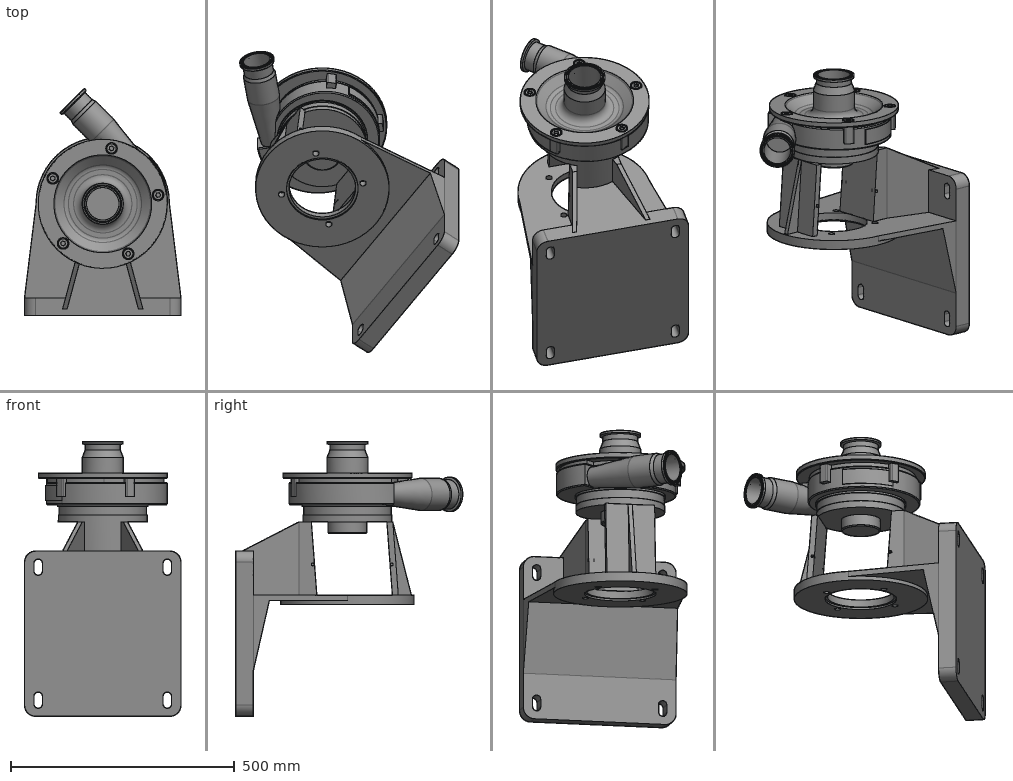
import cadquery as cq
import math


WALL_WIDTH = 350.0
WALL_HEIGHT = 370.0
WALL_THICKNESS = 40.0
WALL_FRONT_Y = -250.0
WALL_BACK_Y = WALL_FRONT_Y + WALL_THICKNESS
WALL_CORNER_RADIUS = 25.0
SLOT_WIDTH = 18.5
SLOT_LENGTH = 35.5
SLOT_EDGE_X = 31.0
SLOT_EDGE_Z = 36.0

SHELF_TOP_Z = 271.0
SHELF_THICKNESS = 12.0
SHELF_BOTTOM_Z = SHELF_TOP_Z - SHELF_THICKNESS
SHELF_RADIUS = 149.5
MOTOR_DISC_THICKNESS = 21.0
MOTOR_HOLE_RADIUS = 74.5
MOTOR_RECESS_RADIUS = 80.0
MOTOR_RECESS_DEPTH = 4.0
MOTOR_BOLT_CIRCLE_RADIUS = 92.0
MOTOR_BOLT_HOLE_DIAMETER = 13.5
MOTOR_BOLT_COUNT = 4
WEDGE_REACH = 35.5
WEDGE_LOWEST_Z = 102.5

RING_RADIUS = 99.5
RING_BOTTOM_Z = 435.0
RING_THICKNESS = 15.5
RING_TOP_Z = RING_BOTTOM_Z + RING_THICKNESS
LEG_HALF_WIDTH = 56.0
LEG_LEAN = 12.0
FRONT_LEG_INNER_Y = -80.5
FRONT_LEG_OUTER_Y = -109.0
BACK_LEG_INNER_Y = 88.0
BACK_LEG_THICKNESS = 13.5
BACK_RIB_FOOT_Y = 143.0
RIB_THICKNESS = 10.0
RIB_SPLAY_ANGLE = 15.0
RIB_END_Y = -235.5
PIN_HOLE_Z = 340.0
PIN_HOLE_DIAMETER = 6.0
PIN_HOLE_DEPTH = 12.0
PIN_HOLE_INSET = 4.0

SHAFT_BOSS_RADIUS = 43.5
SHAFT_BOSS_BOTTOM_Z = 408.5
SHAFT_BOSS_CHAMFER = 2.5
HOUSING_RADIUS = 98.5
HOUSING_TOP_Z = 469.0
COLLAR_RADIUS = 101.5

CASING_BOTTOM_Z = 473.0
CASING_TOP_Z = 523.5
CASING_CHAMFER = 2.5
DRUM_SHIFT = -4.6
DRUM_RADIUS = 121.5
VOLUTE_SHIFT = 7.0
VOLUTE_RADIUS = DRUM_RADIUS + (VOLUTE_SHIFT - DRUM_SHIFT) * math.sqrt(2)
DRUM_NECK_INSET = 2.5
VOLUTE_NECK_INSET = 7.5
PAD_RADIUS = 128.5
PAD_BOTTOM_Z = 482.5
PAD_TOP_Z = 517.0
PAD_START_ANGLE = 172.0
PAD_END_ANGLE = 225.0

COVER_RADIUS = 144.5
COVER_BOTTOM_Z = 532.0
COVER_TOP_Z = 544.0
COVER_CHAMFER = 2.0
BOWL_RIM_RADIUS = 109.5
BOWL_RIM_CHAMFER = 2.5
BOWL_FLOOR_RADIUS = 82.5
BOWL_FLOOR_Z = 521.0
BOWL_FILLET = 15.5
FLARE_RADIUS = 19.0

SCREW_COUNT = 5
SCREW_CIRCLE_RADIUS = 125.5
SCREW_START_ANGLE = 9.0
LUG_WIDTH = 21.0
LUG_OUTER_RADIUS = 137.0
LUG_BOTTOM_Z = 491.5
LUG_FILLET = 2.5
SCREW_RECESS_RADIUS = 13.0
SCREW_HEAD_RADIUS = 10.5
SCREW_GAP_DEPTH = 3.5
SOCKET_DIAMETER = 11.0
SOCKET_DEPTH = 3.5

INLET_TOP_Z = 614.5
INLET_RADIUS = 46.0
INLET_NECK_RADIUS = 39.5
INLET_FLANGE_RADIUS = 45.5
INLET_FLANGE_THICKNESS = 5.0
INLET_CONE_BOTTOM_Z = 579.0
INLET_CONE_TOP_Z = 596.0
INLET_BORE_RADIUS = 36.0
INLET_BORE_DEPTH = 123.0

OUTLET_DIRECTION = (-1, 1, 0)
OUTLET_OFFSET = 115.0
OUTLET_AXIS_Z = 496.5
OUTLET_RADIUS = 36.0
OUTLET_ROOT_RADIUS = 23.5
OUTLET_NECK_RADIUS = 33.0
OUTLET_FLANGE_RADIUS = 39.0
OUTLET_FLANGE_THICKNESS = 5.5
OUTLET_TAPER_END = 116.0
OUTLET_PIPE_END = 173.0
OUTLET_CONE_END = 181.0
OUTLET_LENGTH = 211.5
OUTLET_BORE_RADIUS = 30.0
OUTLET_BORE_DEPTH = 92.0

FERRULE_TAPER = 2.0
FERRULE_GROOVE_WIDTH = 2.5
FERRULE_GROOVE_DEPTH = 2.0


def cylinder(radius, bottom, top, x=0.0, y=0.0):
    return cq.Workplane("XY", origin=(x, y, bottom)).circle(radius).extrude(top - bottom)


def revolved(points):
    """Solid of revolution about Z from an outline of (radius, z) points."""
    return cq.Workplane("XZ").polyline(points).close().revolve(360, (0, 0), (0, 1))


def side_extrusion(points, half_width):
    """Extrude an outline of (y, z) points along X, centred on X = 0."""
    return cq.Workplane("YZ").polyline(points).close().extrude(half_width, both=True)


def wall_plate():
    center_z = WALL_HEIGHT / 2
    slot_x = WALL_WIDTH / 2 - SLOT_EDGE_X
    slot_z = center_z - SLOT_EDGE_Z
    slots = [(i * slot_x, j * slot_z) for i in (-1, 1) for j in (-1, 1)]
    return (
        cq.Workplane("XZ", origin=(0, WALL_BACK_Y, center_z))
        .rect(WALL_WIDTH, WALL_HEIGHT)
        .extrude(WALL_THICKNESS)
        .edges("|Y")
        .fillet(WALL_CORNER_RADIUS)
        .faces("<Y")
        .workplane(centerOption="CenterOfBoundBox")
        .pushPoints(slots)
        .slot2D(SLOT_LENGTH, SLOT_WIDTH, 90)
        .cutThruAll()
    )


def shelf():
    """Half-round shelf widening to the wall plate, with a wedge below it and a motor disc."""
    outline = (
        cq.Workplane("XY")
        .moveTo(WALL_WIDTH / 2, WALL_BACK_Y)
        .lineTo(SHELF_RADIUS, 0)
        .threePointArc((0, SHELF_RADIUS), (-SHELF_RADIUS, 0))
        .lineTo(-WALL_WIDTH / 2, WALL_BACK_Y)
        .close()
        .extrude(SHELF_TOP_Z)
    )
    profile = side_extrusion(
        [
            (WALL_BACK_Y, SHELF_TOP_Z),
            (SHELF_RADIUS, SHELF_TOP_Z),
            (SHELF_RADIUS, SHELF_BOTTOM_Z),
            (WALL_BACK_Y + WEDGE_REACH, SHELF_BOTTOM_Z),
            (WALL_BACK_Y, WEDGE_LOWEST_Z),
        ],
        WALL_WIDTH,
    )
    disc_bottom_z = SHELF_TOP_Z - MOTOR_DISC_THICKNESS
    disc = cylinder(SHELF_RADIUS, disc_bottom_z, SHELF_TOP_Z)
    recess = cylinder(MOTOR_RECESS_RADIUS, disc_bottom_z, disc_bottom_z + MOTOR_RECESS_DEPTH)
    hole = cylinder(MOTOR_HOLE_RADIUS, disc_bottom_z, SHELF_TOP_Z)
    bolt_holes = (
        cq.Workplane("XY", origin=(0, 0, disc_bottom_z))
        .polarArray(MOTOR_BOLT_CIRCLE_RADIUS, 45, 360, MOTOR_BOLT_COUNT)
        .circle(MOTOR_BOLT_HOLE_DIAMETER / 2)
        .extrude(MOTOR_DISC_THICKNESS)
    )
    return outline.intersect(profile).union(disc).cut(recess).cut(hole).cut(bolt_holes)


def rib_outer_x(y):
    """Distance of a splayed rib's outer face from the middle plane at a given Y."""
    return LEG_HALF_WIDTH + (FRONT_LEG_OUTER_Y - y) * math.tan(math.radians(RIB_SPLAY_ANGLE))


def plan_extrusion(points, top):
    """Extrude an outline of (x, y) points from the shelf up to the given height."""
    plane = cq.Workplane("XY", origin=(0, 0, SHELF_TOP_Z))
    return plane.polyline(points).close().extrude(top - SHELF_TOP_Z)


def front_leg():
    """Leg rounded flush with the adapter ring, with a leaning inner face."""
    block = side_extrusion(
        [
            (FRONT_LEG_INNER_Y, RING_BOTTOM_Z),
            (FRONT_LEG_OUTER_Y, RING_BOTTOM_Z),
            (FRONT_LEG_OUTER_Y, SHELF_TOP_Z),
            (FRONT_LEG_INNER_Y + LEG_LEAN, SHELF_TOP_Z),
        ],
        LEG_HALF_WIDTH,
    )
    return block.intersect(cylinder(RING_RADIUS, SHELF_TOP_Z, RING_BOTTOM_Z))


def splayed_ribs():
    """Two ribs from the front leg to the wall plate, and the solid block between them."""
    rib_width = RIB_THICKNESS / math.cos(math.radians(RIB_SPLAY_ANGLE))
    root_x = rib_outer_x(FRONT_LEG_INNER_Y) - rib_width
    end_x = rib_outer_x(RIB_END_Y)
    wall_x = rib_outer_x(WALL_BACK_Y) - rib_width
    rib = plan_extrusion(
        [
            (LEG_HALF_WIDTH, FRONT_LEG_INNER_Y),
            (LEG_HALF_WIDTH, FRONT_LEG_OUTER_Y),
            (end_x, RIB_END_Y),
            (end_x - rib_width, RIB_END_Y),
            (root_x, FRONT_LEG_INNER_Y),
        ],
        RING_BOTTOM_Z,
    )
    profile = side_extrusion(
        [
            (FRONT_LEG_INNER_Y, SHELF_TOP_Z),
            (FRONT_LEG_INNER_Y, RING_BOTTOM_Z),
            (FRONT_LEG_OUTER_Y, RING_BOTTOM_Z),
            (RIB_END_Y, WALL_HEIGHT),
            (WALL_BACK_Y, WALL_HEIGHT),
            (WALL_BACK_Y, SHELF_TOP_Z),
        ],
        WALL_WIDTH,
    )
    rib = rib.intersect(profile)
    block = plan_extrusion(
        [
            (root_x, FRONT_LEG_INNER_Y),
            (wall_x, WALL_BACK_Y),
            (-wall_x, WALL_BACK_Y),
            (-root_x, FRONT_LEG_INNER_Y),
        ],
        WALL_HEIGHT,
    )
    return block.union(rib).union(rib.mirror("YZ"))


def back_leg():
    """Leaning wall stiffened by a triangular rib on its outer face."""
    outer_y = BACK_LEG_INNER_Y + BACK_LEG_THICKNESS
    wall = side_extrusion(
        [
            (BACK_LEG_INNER_Y, RING_BOTTOM_Z),
            (outer_y, RING_BOTTOM_Z),
            (outer_y + LEG_LEAN, SHELF_TOP_Z),
            (BACK_LEG_INNER_Y + LEG_LEAN, SHELF_TOP_Z),
        ],
        LEG_HALF_WIDTH,
    )
    rib = side_extrusion(
        [
            (BACK_LEG_INNER_Y, RING_BOTTOM_Z),
            (outer_y, RING_BOTTOM_Z),
            (BACK_RIB_FOOT_Y, SHELF_TOP_Z),
            (BACK_LEG_INNER_Y + LEG_LEAN, SHELF_TOP_Z),
        ],
        RIB_THICKNESS / 2,
    )
    return wall.union(rib)


def pin_holes():
    """Blind holes in the side faces of both legs, just behind their inner edges."""
    lean = LEG_LEAN * (RING_BOTTOM_Z - PIN_HOLE_Z) / (RING_BOTTOM_Z - SHELF_TOP_Z)
    front_y = FRONT_LEG_INNER_Y + lean - PIN_HOLE_INSET
    back_y = BACK_LEG_INNER_Y + lean + PIN_HOLE_INSET
    points = [(front_y, PIN_HOLE_Z), (back_y, PIN_HOLE_Z)]
    left = (
        cq.Workplane("YZ", origin=(-LEG_HALF_WIDTH, 0, 0))
        .pushPoints(points)
        .circle(PIN_HOLE_DIAMETER / 2)
        .extrude(PIN_HOLE_DEPTH)
    )
    return left.union(left.mirror("YZ"))


def seal_housing():
    ring = cylinder(RING_RADIUS, RING_BOTTOM_Z, RING_TOP_Z)
    housing = cylinder(HOUSING_RADIUS, RING_TOP_Z, HOUSING_TOP_Z)
    boss = cylinder(SHAFT_BOSS_RADIUS, SHAFT_BOSS_BOTTOM_Z, RING_TOP_Z)
    collar = cylinder(COLLAR_RADIUS, HOUSING_TOP_Z, CASING_BOTTOM_Z)
    return ring.union(housing).union(boss.faces("<Z").chamfer(SHAFT_BOSS_CHAMFER)).union(collar)


def spiral_disc(drum_radius, volute_radius, bottom, top):
    """Drum on the side towards -X +Y joined to a half volute on the side towards +X -Y."""
    drum = cylinder(drum_radius, bottom, top, DRUM_SHIFT, DRUM_SHIFT)
    volute = cylinder(volute_radius, bottom, top, VOLUTE_SHIFT, VOLUTE_SHIFT)
    reach = 2 * volute_radius
    volute_side = (
        cq.Workplane("XY", origin=(0, 0, bottom))
        .polyline([(-reach, -reach), (reach, -reach), (reach, reach)])
        .close()
        .extrude(top - bottom)
    )
    return drum.union(volute.intersect(volute_side))


def casing():
    body = spiral_disc(DRUM_RADIUS, VOLUTE_RADIUS, CASING_BOTTOM_Z, CASING_TOP_Z)
    body = body.faces("<Z or >Z").edges().chamfer(CASING_CHAMFER)
    neck = spiral_disc(
        DRUM_RADIUS - DRUM_NECK_INSET,
        VOLUTE_RADIUS - VOLUTE_NECK_INSET,
        CASING_TOP_Z,
        COVER_BOTTOM_Z,
    )
    pad_outline = [
        (0, PAD_BOTTOM_Z),
        (PAD_RADIUS, PAD_BOTTOM_Z),
        (PAD_RADIUS, PAD_TOP_Z),
        (0, PAD_TOP_Z),
    ]
    pad = (
        cq.Workplane("XZ")
        .polyline(pad_outline)
        .close()
        .revolve(PAD_END_ANGLE - PAD_START_ANGLE, (0, 0), (0, 1))
        .rotate((0, 0, 0), (0, 0, 1), PAD_START_ANGLE)
    )
    return body.union(neck).union(pad)


def cover():
    """Flat cover disc, chamfered below."""
    return cylinder(COVER_RADIUS, COVER_BOTTOM_Z, COVER_TOP_Z).edges("<Z").chamfer(COVER_CHAMFER)


def bowl():
    """Material removed from the cover: a conical bowl with a rounded floor edge."""
    inner_rim = BOWL_RIM_RADIUS - BOWL_RIM_CHAMFER
    solid = revolved(
        [
            (0, BOWL_FLOOR_Z),
            (BOWL_FLOOR_RADIUS, BOWL_FLOOR_Z),
            (inner_rim, COVER_TOP_Z - BOWL_RIM_CHAMFER),
            (BOWL_RIM_RADIUS, COVER_TOP_Z),
            (0, COVER_TOP_Z),
        ]
    )
    return solid.faces("<Z").edges().fillet(BOWL_FILLET)


def at_screws(solid):
    """Copies of a solid on the Z axis, moved to every cover screw."""
    copies = cq.Workplane("XY")
    for i in range(SCREW_COUNT):
        angle = SCREW_START_ANGLE + i * 360 / SCREW_COUNT
        moved = solid.translate((SCREW_CIRCLE_RADIUS, 0, 0)).rotate((0, 0, 0), (0, 0, 1), angle)
        copies = copies.add(moved)
    return copies.combine()


def screw_lugs():
    """Rounded blocks on the casing below the cover screws."""
    depth = LUG_OUTER_RADIUS - SCREW_CIRCLE_RADIUS + LUG_WIDTH / 2
    middle = (LUG_OUTER_RADIUS + SCREW_CIRCLE_RADIUS - LUG_WIDTH / 2) / 2
    lug = (
        cq.Workplane("XY", origin=(middle - SCREW_CIRCLE_RADIUS, 0, LUG_BOTTOM_Z))
        .rect(depth, LUG_WIDTH)
        .extrude(COVER_BOTTOM_Z - LUG_BOTTOM_Z)
        .edges("|Z")
        .fillet(LUG_FILLET)
    )
    return at_screws(lug)


def screw_recesses():
    """Ring gap around each flush screw head, and the hexagon socket in the head."""
    gap = (
        cq.Workplane("XY", origin=(0, 0, COVER_TOP_Z))
        .circle(SCREW_RECESS_RADIUS)
        .circle(SCREW_HEAD_RADIUS)
        .extrude(-SCREW_GAP_DEPTH)
    )
    socket = (
        cq.Workplane("XY", origin=(0, 0, COVER_TOP_Z))
        .polygon(6, SOCKET_DIAMETER)
        .extrude(-SOCKET_DEPTH)
    )
    return at_screws(gap.union(socket))


def ferrule_groove(bore_radius, flange_radius, end):
    """Ring groove in the end face of a pipe flange."""
    middle = (bore_radius + flange_radius) / 2
    return (
        cq.Workplane("XY", origin=(0, 0, end))
        .circle(middle + FERRULE_GROOVE_WIDTH / 2)
        .circle(middle - FERRULE_GROOVE_WIDTH / 2)
        .extrude(-FERRULE_GROOVE_DEPTH)
    )


def inlet_pipe():
    flange_z = INLET_TOP_Z - INLET_FLANGE_THICKNESS
    flare_top_z = BOWL_FLOOR_Z + FLARE_RADIUS
    flare_foot = INLET_RADIUS + FLARE_RADIUS
    arc_shift = FLARE_RADIUS * (1 - math.sqrt(0.5))
    pipe = (
        cq.Workplane("XZ")
        .moveTo(0, BOWL_FLOOR_Z)
        .lineTo(flare_foot, BOWL_FLOOR_Z)
        .threePointArc((INLET_RADIUS + arc_shift, BOWL_FLOOR_Z + arc_shift), (INLET_RADIUS, flare_top_z))
        .lineTo(INLET_RADIUS, INLET_CONE_BOTTOM_Z)
        .lineTo(INLET_NECK_RADIUS, INLET_CONE_TOP_Z)
        .lineTo(INLET_NECK_RADIUS, flange_z - FERRULE_TAPER)
        .lineTo(INLET_FLANGE_RADIUS, flange_z)
        .lineTo(INLET_FLANGE_RADIUS, INLET_TOP_Z)
        .lineTo(0, INLET_TOP_Z)
        .close()
        .revolve(360, (0, 0), (0, 1))
    )
    bore = cylinder(INLET_BORE_RADIUS, INLET_TOP_Z - INLET_BORE_DEPTH, INLET_TOP_Z)
    groove = ferrule_groove(INLET_BORE_RADIUS, INLET_FLANGE_RADIUS, INLET_TOP_Z)
    return pipe.cut(bore).cut(groove)


def outlet_pipe():
    """Tapered pipe with a clamp flange, turned into its direction beside the drum."""
    flange_start = OUTLET_LENGTH - OUTLET_FLANGE_THICKNESS
    pipe = revolved(
        [
            (0, 0),
            (OUTLET_ROOT_RADIUS, 0),
            (OUTLET_RADIUS, OUTLET_TAPER_END),
            (OUTLET_RADIUS, OUTLET_PIPE_END),
            (OUTLET_NECK_RADIUS, OUTLET_CONE_END),
            (OUTLET_NECK_RADIUS, flange_start - FERRULE_TAPER),
            (OUTLET_FLANGE_RADIUS, flange_start),
            (OUTLET_FLANGE_RADIUS, OUTLET_LENGTH),
            (0, OUTLET_LENGTH),
        ]
    )
    bore = cylinder(OUTLET_BORE_RADIUS, OUTLET_LENGTH - OUTLET_BORE_DEPTH, OUTLET_LENGTH)
    groove = ferrule_groove(OUTLET_BORE_RADIUS, OUTLET_FLANGE_RADIUS, OUTLET_LENGTH)
    start = OUTLET_OFFSET * math.sqrt(0.5)
    plane = cq.Plane(origin=(start, start, OUTLET_AXIS_Z), xDir=(0, 0, 1), normal=OUTLET_DIRECTION)
    return cq.Workplane(pipe.cut(bore).cut(groove).val().moved(cq.Location(plane)))


bracket = wall_plate().union(shelf()).union(front_leg()).union(splayed_ribs()).union(back_leg())
bracket = bracket.cut(pin_holes())
pump = seal_housing().union(casing()).union(outlet_pipe()).union(cover()).union(screw_lugs())
pump = pump.cut(bowl()).cut(screw_recesses()).union(inlet_pipe())
result = bracket.union(pump)